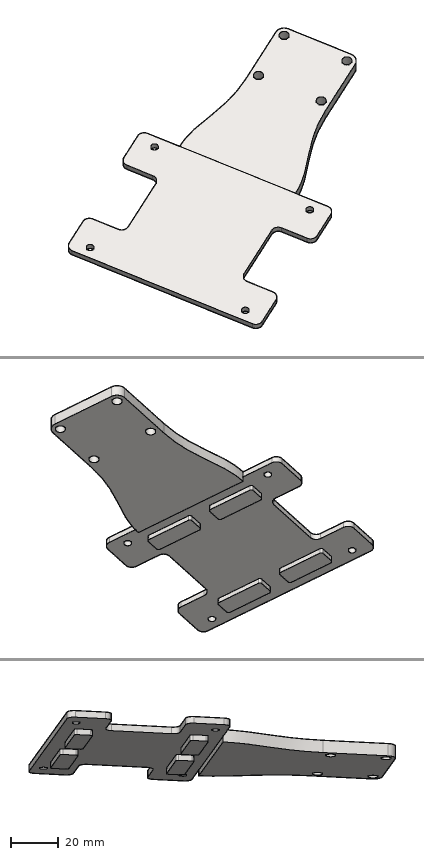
import cadquery as cq

overall_length = 147.0
overall_thickness = 5.5

base_width = 91.9
base_length = 70.3
base_thickness = 3.0
arm_length = 19.1
waist_width = 55.1
base_corner_radius = 3.1
base_hole_diameter = 3.2
base_hole_spacing_x = 73.8
base_hole_spacing_y = 60.1

foot_height = overall_thickness - base_thickness
foot_length = 22.8
foot_width = 7.8
foot_corner_radius = 1.0
foot_spacing_x = waist_width - foot_length
foot_spacing_y = 50.0

tail_length = overall_length - base_length
tail_tip_width = 37.8
tail_corner_radius = 4.0
tail_flare_length = 44.7
tail_bend_distance = 18.1
tail_hole_diameter = 4.3
tail_hole_spacing_x = tail_tip_width - 2 * tail_corner_radius
tail_hole_spacing_y = 24.0


def make_base():
    """H-shaped plate with four screw holes and four bar-shaped feet."""
    plate = cq.Workplane("XY").rect(base_width, base_length).extrude(base_thickness)
    notch_depth = (base_width - waist_width) / 2
    notch_length = base_length - 2 * arm_length
    notches = (
        cq.Workplane("XY")
        .rarray(base_width - notch_depth, 1.5, 2, 1)
        .rect(notch_depth, notch_length)
        .extrude(base_thickness)
    )
    plate = plate.cut(notches).edges("|Z").fillet(base_corner_radius)
    holes = (
        cq.Workplane("XY")
        .rarray(base_hole_spacing_x, base_hole_spacing_y, 2, 2)
        .circle(base_hole_diameter / 2)
        .extrude(base_thickness)
    )
    feet = (
        cq.Workplane("XY")
        .rarray(foot_spacing_x, foot_spacing_y, 2, 2)
        .rect(foot_length, foot_width)
        .extrude(-foot_height)
        .edges("|Z")
        .fillet(foot_corner_radius)
    )
    return plate.cut(holes).union(feet)


def make_tail():
    """Full-thickness plate that flares in one S-shaped curve towards the base plate."""
    root_y = base_length / 2
    tip_y = root_y + tail_length
    flare_y = root_y + tail_flare_length
    bend_y = root_y + tail_bend_distance
    tip_x = tail_tip_width / 2
    root_x = waist_width / 2
    bend_x = root_x - (root_x - tip_x) * tail_bend_distance / tail_flare_length

    half = (
        cq.Workplane("XY", origin=(0, 0, -foot_height))
        .moveTo(0, tip_y)
        .lineTo(tip_x, tip_y)
        .lineTo(tip_x, flare_y)
        .spline([(bend_x, bend_y), (root_x, root_y)], tangents=[(0, -1), (0, -1)], includeCurrent=True)
        .lineTo(0, root_y)
        .close()
        .extrude(overall_thickness)
    )
    tail = half.union(half.mirror("YZ")).clean()
    tail = tail.edges("|Z and >Y").fillet(tail_corner_radius)

    hole_centre_y = tip_y - tail_corner_radius - tail_hole_spacing_y / 2
    holes = (
        cq.Workplane("XY", origin=(0, hole_centre_y, -foot_height))
        .rarray(tail_hole_spacing_x, tail_hole_spacing_y, 2, 2)
        .circle(tail_hole_diameter / 2)
        .extrude(overall_thickness)
    )
    return tail.cut(holes)


base = make_base()
tail = make_tail()

result = cq.Compound.makeCompound([base.val(), tail.val()])